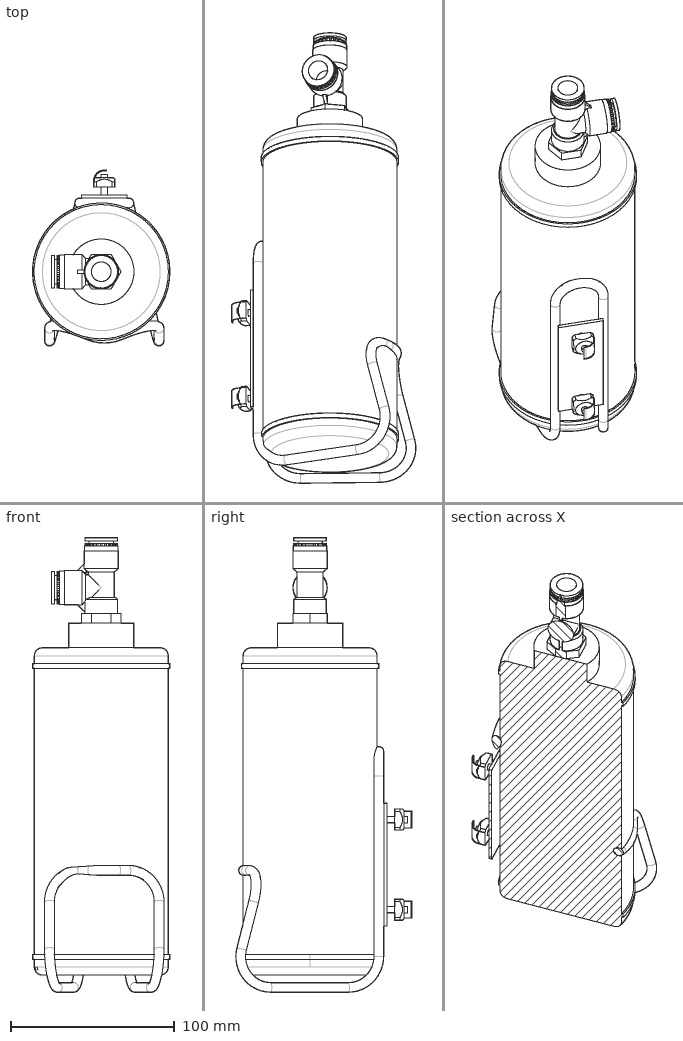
import cadquery as cq
import math


TANK_D = 82.0
TANK_HEIGHT = 200.0
END_ROUND = 5.0
BEAD_D = 84.0
BEAD_HEIGHT = 3.0
BEAD_SETBACK = 9.7
NECK_D = 40.0
NECK_HEIGHT = 15.0

MOUNT_X = 1.85
WIRE_D = 6.0
RAIL_Z = -7.5
BACK_HALF_WIDTH = 15.0
BACK_Y = 42.0
BACK_TOP_Z = 136.6
FRONT_HALF_WIDTH = 33.5
FRONT_TOP_Z = 64.0
FRONT_TOP_Y = -29.6
FRONT_PEAK_Y = -42.4
FRONT_FOOT_Y = -47.81
FOOT_BEND_R = 19.0
FRONT_CORNER_R = 18.0
FRONT_WRAP_R = 25.0

PLATE_WIDTH = 28.0
PLATE_HEIGHT = 75.0
PLATE_THICKNESS = 2.0
PLATE_Z = 67.5
PLATE_INNER_Y = BACK_Y + WIRE_D / 2
PLATE_OUTER_Y = PLATE_INNER_Y + PLATE_THICKNESS
STUD_D = 4.0
STUD_LENGTH = 12.5
STUD_SPACING = 55.0
STUD_HEIGHTS = [PLATE_Z - STUD_SPACING / 2, PLATE_Z + STUD_SPACING / 2]

NUT_SIZE = 13.0
NUT_CORNER_R = 1.2
NUT_GAP = 4.6
NUT_THICKNESS = 5.8
NUT_FACE_D = 11.2
NUT_CHAMFER = 2.5
TONGUE_WIDTH = 10.5
TONGUE_THICKNESS = 0.5
TONGUE_END_X = 1.3
TONGUE_TOP = 10.5

HEX_FLATS = 21.0
HEX_HEIGHT = 6.0
BASE_D = 20.0
BASE_HEIGHT = 8.4
BASE_CHAMFER = 1.3
TEE_NECK_D = 16.0
TEE_RISE = 21.66
TEE_Z = TANK_HEIGHT + NECK_HEIGHT + TEE_RISE
PORT_LENGTH = 30.5
PORT_D = 21.0
PORT_LIP_D = 20.6
PORT_CONE_START = 9.5
PORT_BODY_START = 11.7
PORT_LIP_START = 22.5
PORT_BODY_END = 25.4
COLLAR_D = 20.0
COLLAR_GROOVE_D = 15.0
COLLAR_GROOVE_START = 27.0
COLLAR_GROOVE_END = 28.5
NOTCH_COUNT = 24
NOTCH_WIDTH = 1.2
NOTCH_DEPTH = 1.0
BORE_D = 12.0
BORE_DEPTH = 20.0
WEB_THICKNESS = 2.0
WEB_REACH = 25.0
WEB_INNER = 9.0


def cylinder(diameter, height, z):
    return cq.Workplane("XY").workplane(offset=z).circle(diameter / 2).extrude(height)


def bend_points(corner, before, after, radius):
    """Start, middle and end of the arc that rounds a corner between two neighbouring points."""
    back = (before - corner).normalized()
    ahead = (after - corner).normalized()
    half_angle = back.getAngle(ahead) / 2
    setback = radius / math.tan(half_angle)
    centre = corner + (back + ahead).normalized() * (radius / math.sin(half_angle))
    middle = centre + (corner - centre).normalized() * radius
    return corner + back * setback, middle, corner + ahead * setback


def make_stand():
    half = [
        (cq.Vector(BACK_HALF_WIDTH, BACK_Y, RAIL_Z), FOOT_BEND_R),
        (cq.Vector(FRONT_HALF_WIDTH, FRONT_FOOT_Y, RAIL_Z), FOOT_BEND_R),
        (cq.Vector(FRONT_HALF_WIDTH, FRONT_TOP_Y, FRONT_TOP_Z), FRONT_CORNER_R),
    ]
    peak = (cq.Vector(0, FRONT_PEAK_Y, FRONT_TOP_Z), FRONT_WRAP_R)
    other_half = [(cq.Vector(-p.x, p.y, p.z), r) for p, r in reversed(half)]
    bends = half + [peak] + other_half

    arch_z = BACK_TOP_Z - BACK_HALF_WIDTH
    start = cq.Vector(BACK_HALF_WIDTH, BACK_Y, arch_z)
    arch_top = cq.Vector(0, BACK_Y, BACK_TOP_Z)
    finish = cq.Vector(-BACK_HALF_WIDTH, BACK_Y, arch_z)

    points = [start] + [p for p, r in bends] + [finish]
    edges = []
    here = start
    for i, (corner, radius) in enumerate(bends):
        first, middle, last = bend_points(corner, points[i], points[i + 2], radius)
        edges.append(cq.Edge.makeLine(here, first))
        edges.append(cq.Edge.makeThreePointArc(first, middle, last))
        here = last
    edges.append(cq.Edge.makeLine(here, finish))
    edges.append(cq.Edge.makeThreePointArc(finish, arch_top, start))
    path = cq.Wire.assembleEdges(edges)

    profile = cq.Workplane("XY", origin=start.toTuple()).circle(WIRE_D / 2)
    return profile.sweep(cq.Workplane(path), isFrenet=False).translate((MOUNT_X, 0, 0))


def make_tank(stand):
    shell = cylinder(TANK_D, TANK_HEIGHT, 0).edges().fillet(END_ROUND)
    for z in [BEAD_SETBACK, TANK_HEIGHT - BEAD_SETBACK - BEAD_HEIGHT]:
        shell = shell.union(cylinder(BEAD_D, BEAD_HEIGHT, z))
    shell = shell.union(cylinder(NECK_D, NECK_HEIGHT, TANK_HEIGHT))
    return shell.cut(stand)


def make_plate():
    return cq.Workplane("XY").box(PLATE_WIDTH, PLATE_THICKNESS, PLATE_HEIGHT).translate(
        (MOUNT_X, PLATE_INNER_Y + PLATE_THICKNESS / 2, PLATE_Z)
    )


def make_stud(z):
    back = cq.Workplane("XZ", origin=(MOUNT_X, PLATE_OUTER_Y, z))
    return back.circle(STUD_D / 2).extrude(-STUD_LENGTH)


def make_nut(z):
    half = NUT_SIZE / 2
    block = cq.Workplane("XY").rect(NUT_SIZE, NUT_SIZE).extrude(NUT_THICKNESS)
    block = block.edges("|Z").fillet(NUT_CORNER_R)
    turned = cylinder(NUT_FACE_D + 2 * NUT_CHAMFER, NUT_THICKNESS, 0).faces(">Z").chamfer(NUT_CHAMFER)
    nut = block.intersect(turned).union(make_tongue(half))
    nut = nut.cut(cylinder(STUD_D, NUT_THICKNESS, 0))
    return nut.rotate((0, 0, 0), (1, 0, 0), -90).translate((MOUNT_X, PLATE_OUTER_Y + NUT_GAP, z))


def make_tongue(outer_r):
    """Strip up the -X side of the nut, then a quarter turn about the nut's middle."""
    inner_r = outer_r - TONGUE_THICKNESS
    centre_z = TONGUE_TOP - outer_r
    diagonal = math.sqrt(0.5)
    return (
        cq.Workplane("XZ")
        .moveTo(-outer_r, 0)
        .lineTo(-outer_r, centre_z)
        .threePointArc((-outer_r * diagonal, centre_z + outer_r * diagonal), (0, TONGUE_TOP))
        .lineTo(TONGUE_END_X, TONGUE_TOP)
        .lineTo(TONGUE_END_X, TONGUE_TOP - TONGUE_THICKNESS)
        .lineTo(0, TONGUE_TOP - TONGUE_THICKNESS)
        .threePointArc((-inner_r * diagonal, centre_z + inner_r * diagonal), (-inner_r, centre_z))
        .lineTo(-inner_r, 0)
        .close()
        .extrude(TONGUE_WIDTH / 2, both=True)
    )


def make_port():
    """One port along +Z, starting at the crossing of the two tee axes."""
    neck_r = TEE_NECK_D / 2
    collar_r = COLLAR_D / 2
    groove_r = COLLAR_GROOVE_D / 2
    port_r = PORT_D / 2
    lip_r = PORT_LIP_D / 2
    outline = [
        (0, 0),
        (neck_r, 0),
        (neck_r, PORT_CONE_START),
        (port_r, PORT_BODY_START),
        (port_r, PORT_LIP_START),
        (lip_r, PORT_LIP_START),
        (lip_r, PORT_BODY_END),
        (collar_r, PORT_BODY_END),
        (collar_r, COLLAR_GROOVE_START),
        (groove_r, COLLAR_GROOVE_START),
        (groove_r, COLLAR_GROOVE_END),
        (collar_r, COLLAR_GROOVE_END),
        (collar_r, PORT_LENGTH),
        (0, PORT_LENGTH),
    ]
    port = cq.Workplane("XZ").polyline(outline).close().revolve(360, (0, 0, 0), (0, 1, 0))

    notch_height = COLLAR_GROOVE_START - PORT_BODY_END
    notches = (
        cq.Workplane("XY")
        .workplane(offset=PORT_BODY_END)
        .polarArray(collar_r, 0, 360, NOTCH_COUNT)
        .rect(2 * NOTCH_DEPTH, NOTCH_WIDTH)
        .extrude(notch_height)
    )
    return port.cut(notches)


def make_web():
    """Corner gusset between the two ports."""
    tip = WEB_REACH - WEB_INNER
    outline = [(-WEB_INNER, WEB_INNER), (-tip, WEB_INNER), (-WEB_INNER, tip)]
    return cq.Workplane("XZ").polyline(outline).close().extrude(WEB_THICKNESS / 2, both=True)


def turn_to_branch(shape):
    return shape.rotate((0, 0, 0), (0, 1, 0), -90)


def make_fitting():
    foot_z = TANK_HEIGHT + NECK_HEIGHT
    hexagon = (
        cq.Workplane("XY")
        .workplane(offset=foot_z)
        .polygon(6, HEX_FLATS / math.cos(math.pi / 6))
        .extrude(HEX_HEIGHT)
    )
    base_z = foot_z + HEX_HEIGHT
    base = cylinder(BASE_D, BASE_HEIGHT + BASE_CHAMFER, base_z).faces(">Z").chamfer(BASE_CHAMFER)
    stem = cylinder(TEE_NECK_D, TEE_Z - base_z, base_z)

    port = make_port()
    web = make_web()
    bore = cylinder(BORE_D, BORE_DEPTH, PORT_LENGTH - BORE_DEPTH)
    tee = port.union(turn_to_branch(port)).union(web).union(web.mirror("XY"))
    tee = tee.translate((0, 0, TEE_Z)).union(stem).union(base).union(hexagon)
    for hole in [bore, turn_to_branch(bore)]:
        tee = tee.cut(hole.translate((0, 0, TEE_Z)))
    return tee


stand = make_stand()
tank = make_tank(stand)
plate = make_plate()
studs = [make_stud(z) for z in STUD_HEIGHTS]
nuts = [make_nut(z) for z in STUD_HEIGHTS]
fitting = make_fitting()

result = cq.Compound.makeCompound(
    [body.solids().val() for body in [tank, stand, plate, *studs, *nuts, fitting]]
)